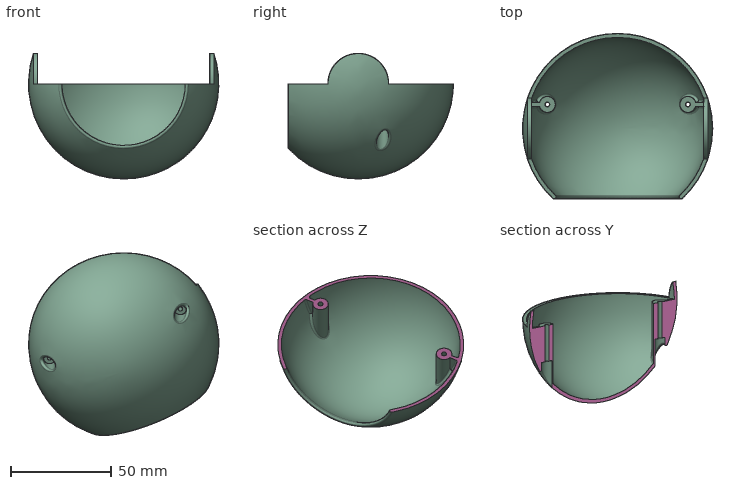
import cadquery as cq

outer_radius = 47.4
wall = 2.0
inner_radius = outer_radius - wall

ear_radius = 15.2

opening_diameter = 61.3
opening_round = 0.95

post_x = 35.0
post_y = 12.0
post_radius = 4.0
post_top = 0.0
screw_hole_diameter = 2.2
rib_width = 2.0
root_fillet = 0.95

recess_diameter = 6.0
recess_ceiling = -18.95
recess_round = 0.95

span = 4 * outer_radius

tolerance = 0.01


def lower_region():
    return cq.Workplane("XY").rect(span, span).extrude(-span / 2)


def ear_cylinder():
    return cq.Workplane("YZ").circle(ear_radius).extrude(span / 2, both=True)


def trimmed_ball(radius):
    """Ball cut down to the bowl below the rim, plus its two ears."""
    ball = cq.Workplane("XY").sphere(radius)
    return ball.intersect(lower_region().union(ear_cylinder()))


def bowl():
    shell = trimmed_ball(outer_radius).cut(cq.Workplane("XY").sphere(inner_radius))
    opening = cq.Workplane("XZ").circle(opening_diameter / 2).extrude(outer_radius)
    shell = shell.cut(opening)
    edges = [edge for edge in shell.edges().vals() if borders_opening(edge)]
    return shell.newObject(edges).fillet(opening_round)


def borders_opening(edge):
    """True for the inner and outer edges of the opening, whose middles lie at its lowest point."""
    middle = edge.positionAt(0.5)
    lowest_z = -opening_diameter / 2
    return middle.y < 0 and abs(middle.x) < tolerance and abs(middle.z - lowest_z) < tolerance


def post_with_rib(side):
    """Post and its rib towards the wall, ending inside the wall thickness."""
    post = cq.Workplane("XY", origin=(side * post_x, post_y, post_top)).circle(post_radius)
    post = post.extrude(-outer_radius)
    rib = cq.Workplane("XY", origin=(side * (post_x + outer_radius) / 2, post_y, post_top))
    rib = rib.rect(outer_radius - post_x, rib_width).extrude(-outer_radius)
    middle_ball = cq.Workplane("XY").sphere(inner_radius + wall / 2)
    return post.union(rib).intersect(middle_ball)


def screw_hole(side):
    hole = cq.Workplane("XY", origin=(side * post_x, post_y, post_top))
    return hole.circle(screw_hole_diameter / 2).extrude(-outer_radius)


def head_recess(side):
    recess = cq.Workplane("XY", origin=(side * post_x, post_y, recess_ceiling))
    return recess.circle(recess_diameter / 2).extrude(-outer_radius)


def touches_sphere(edge, radius):
    """True for an edge below the rim whose middle lies on the sphere of this radius."""
    middle = edge.positionAt(0.5)
    near_post = abs(abs(middle.x) - post_x) < 2 * post_radius + wall
    near_post = near_post and abs(middle.y - post_y) < post_radius + wall
    return near_post and middle.z < -wall / 2 and abs(middle.Length - radius) < tolerance


def round_post_edges(body, sphere_radius, fillet_radius):
    edges = [edge for edge in body.edges().vals() if touches_sphere(edge, sphere_radius)]
    return body.newObject(edges).fillet(fillet_radius)


result = bowl()
for side in (-1, 1):
    result = result.union(post_with_rib(side))
result = round_post_edges(result, inner_radius, root_fillet)
for side in (-1, 1):
    result = result.cut(head_recess(side))
result = round_post_edges(result, outer_radius, recess_round)
for side in (-1, 1):
    result = result.cut(screw_hole(side))